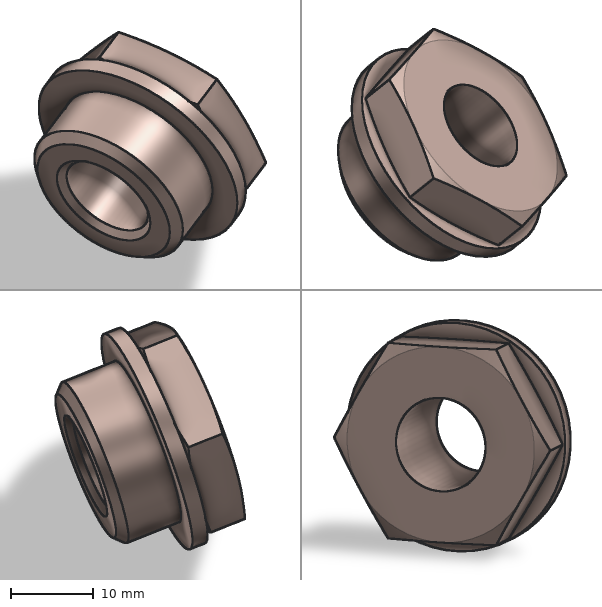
import cadquery as cq
import math

total_length = 15.5
head_length = 5.5
head_across_flats = 24.0
head_chamfer_angle = 15.0

shank_diameter = 20.95
shank_length = total_length - head_length
shank_chamfer = 1.15

bore_diameter = 11.45
bore_mouth_diameter = 13.15
bore_chamfer = (bore_mouth_diameter - bore_diameter) / 2

washer_diameter = 28.0
washer_hole_diameter = 21.0
washer_thickness = 2.0


def cylinder_along_y(diameter, y_start, y_end):
    """Solid cylinder on the Y axis between two Y positions."""
    plane = cq.Workplane("XZ", origin=(0, y_end, 0))
    return plane.circle(diameter / 2).extrude(y_end - y_start)


def make_head():
    """Hex head with corners on the X axis, turned to a cone at both ends."""
    corner_diameter = head_across_flats / math.cos(math.pi / 6)
    flat_radius = head_across_flats / 2
    corner_radius = corner_diameter / 2
    corner_drop = (corner_radius - flat_radius) * math.tan(math.radians(head_chamfer_angle))

    prism = (
        cq.Workplane("XZ", origin=(0, head_length, 0))
        .polygon(6, corner_diameter)
        .extrude(head_length)
    )
    turned_envelope = (
        cq.Workplane("XY")
        .moveTo(0, 0)
        .lineTo(flat_radius, 0)
        .lineTo(corner_radius, corner_drop)
        .lineTo(corner_radius, head_length - corner_drop)
        .lineTo(flat_radius, head_length)
        .lineTo(0, head_length)
        .close()
        .revolve(360, (0, 0, 0), (0, 1, 0))
    )
    return prism.intersect(turned_envelope)


def make_shank():
    """Round shank with a chamfered free end."""
    shank = cylinder_along_y(shank_diameter, -shank_length, 0)
    return shank.faces("<Y").edges().chamfer(shank_chamfer)


def make_fitting():
    """Head and shank in one piece, bored through and chamfered at the shank's mouth."""
    bore = cylinder_along_y(bore_diameter, -shank_length, head_length)
    fitting = make_head().union(make_shank()).cut(bore)
    bore_mouth = fitting.faces("<Y").edges(cq.selectors.RadiusNthSelector(0))
    return bore_mouth.chamfer(bore_chamfer)


def make_washer():
    """Flat sealing washer, a loose fit around the shank."""
    disc = cylinder_along_y(washer_diameter, -washer_thickness, 0)
    hole = cylinder_along_y(washer_hole_diameter, -washer_thickness, 0)
    return disc.cut(hole)


fitting = make_fitting()
washer = make_washer()

result = cq.Compound.makeCompound([fitting.val(), washer.val()])